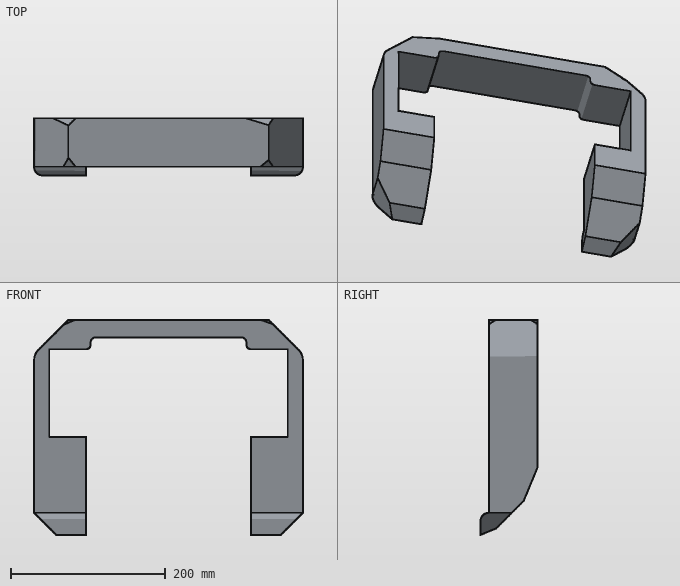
import cadquery as cq
import math

width = 347.3
height = 278.0
lip_depth = 11.0
total_depth = 74.0
body_depth = total_depth - lip_depth
half_width = width / 2

shoulder = 44.5
shoulder_radius = 18.8
wall = 19.8
underside_z = height - 38.2
recess_z = height - 23.0
recess_half_width = 100.5
recess_radius = 6.3

leg_inner_x = 106.3
ledge_z = height - 151.0
foot_chamfer = 28.8
lip_radius = lip_depth
back_taper_z = height - 190.5
back_taper_depth = 17.7
foot_angle = math.radians(22.5)

left_front_facet = (9.5, 6.5, 11.8)
left_back_facet = (9.5, 19.8, 9.5)
right_front_facet = (10.8, 6.0, 9.0)
right_back_facet = (29.0, 6.0, 9.0)


def arch_blank():
    """Front outline of the arch, with open legs, extruded through the full depth."""
    inner_x = half_width - wall
    half_outline = [
        (half_width - shoulder, height),
        (half_width, height - shoulder),
        (half_width, foot_chamfer),
        (half_width - foot_chamfer, 0),
        (leg_inner_x, 0),
        (leg_inner_x, ledge_z),
        (inner_x, ledge_z),
        (inner_x, underside_z),
        (recess_half_width, underside_z),
        (recess_half_width, recess_z),
    ]
    mirrored = [(-x, z) for x, z in reversed(half_outline)]
    blank = (
        cq.Workplane("XZ", origin=(0, total_depth - lip_depth, 0))
        .polyline(half_outline + mirrored)
        .close()
        .extrude(total_depth)
    )
    for side in (-1, 1):
        blank = round_edge(blank, side * half_width, height - shoulder, shoulder_radius)
        blank = round_edge(blank, side * recess_half_width, underside_z, recess_radius)
        blank = round_edge(blank, side * recess_half_width, recess_z, recess_radius)
    return blank


def round_edge(body, x, z, radius):
    """Round the edge along Y that passes through (x, z)."""
    edge = cq.selectors.NearestToPointSelector((x, body_depth - total_depth / 2, z))
    return body.edges(edge).fillet(radius)


def side_profile():
    """Side outline: tapered back of the foot and a rounded lip at its front."""
    taper_end_y = body_depth - back_taper_depth
    taper_end_z = back_taper_z - back_taper_depth / math.tan(foot_angle)
    sole_slope = math.tan(foot_angle)
    sole_y = (taper_end_y - taper_end_z + sole_slope * lip_depth) / (1 - sole_slope)
    sole_z = sole_slope * (sole_y + lip_depth)
    arc_mid = lip_radius * math.sqrt(0.5)
    return (
        cq.Workplane("YZ", origin=(-half_width, 0, 0))
        .moveTo(0, height)
        .lineTo(body_depth, height)
        .lineTo(body_depth, back_taper_z)
        .lineTo(taper_end_y, taper_end_z)
        .lineTo(sole_y, sole_z)
        .lineTo(-lip_depth, 0)
        .lineTo(-lip_depth, foot_chamfer - lip_radius)
        .threePointArc((-arc_mid, foot_chamfer - lip_radius + arc_mid), (0, foot_chamfer))
        .close()
        .extrude(width)
    )


def corner_facet(side, at_back, reaches):
    """Tetrahedron between a shoulder corner and its facet."""
    top_reach, shoulder_reach, ridge_reach = reaches
    ridge_x = half_width - shoulder
    face_y = body_depth if at_back else 0
    ridge_y = body_depth - ridge_reach if at_back else ridge_reach
    corners = [
        cq.Vector(side * ridge_x, face_y, height),
        cq.Vector(side * (ridge_x - top_reach), face_y, height),
        cq.Vector(side * (ridge_x + shoulder_reach), face_y, height - shoulder_reach),
        cq.Vector(side * ridge_x, ridge_y, height),
    ]
    faces = []
    for left_out in corners:
        triangle = [corner for corner in corners if corner is not left_out]
        faces.append(cq.Face.makeFromWires(cq.Wire.makePolygon(triangle, close=True)))
    return cq.Workplane(cq.Solid.makeSolid(cq.Shell.makeShell(faces)))


result = arch_blank().intersect(side_profile())
for side, at_back, reaches in (
    (-1, False, left_front_facet),
    (-1, True, left_back_facet),
    (1, False, right_front_facet),
    (1, True, right_back_facet),
):
    result = result.cut(corner_facet(side, at_back, reaches))